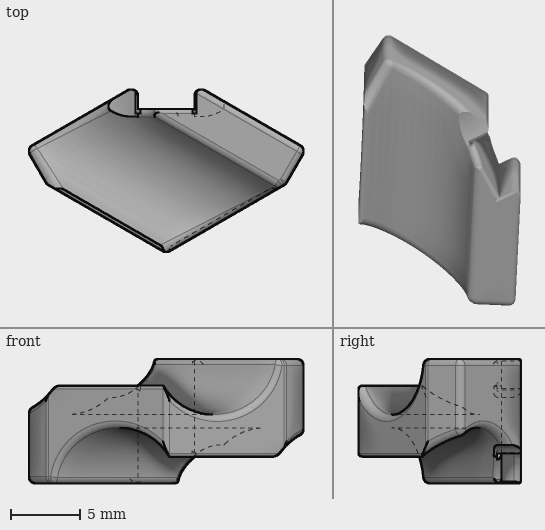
import cadquery as cq
import math


height = 9.0
edge_angle = 30.0
diamond_width = 11.57
end_distance = 8.32
edge_radius = 0.5

channel_radius = 4.22
channel_offset = -1.86
channel_axis_height = 4.70

lip_height = 2.57
lip_radius = 0.24

notch_half_width = 2.03
notch_floor_y = 3.73
notch_edge_radius = 0.33
wall_bevel = 0.15

hollow_radius = 2.8
hollow_x = -4.0
hollow_start_y = 2.9
hollow_bevel = 0.18

cos_edge = math.cos(math.radians(edge_angle))
sin_edge = math.sin(math.radians(edge_angle))
half_height = height / 2
half_width = diamond_width / 2
tolerance = 1e-4
reach = 30.0


def half_turn(shape):
    return shape.rotate((0, 0, 0), (0, 1, 0), 180)


def cut_both_sides(part, cutter):
    return part.cut(cutter).cut(half_turn(cutter))


def along_channel(section):
    """Extrude a (across, height) section along the upper channel."""
    return section.extrude(reach, both=True).rotate((0, 0, 0), (0, 0, 1), -edge_angle)


def diamond_body():
    corner_x = half_width / sin_edge
    corner_y = half_width / cos_edge
    body = (
        cq.Workplane("XY")
        .polyline([(corner_x, 0), (0, corner_y), (-corner_x, 0), (0, -corner_y)])
        .close()
        .extrude(half_height, both=True)
    )
    trim = (
        cq.Workplane("XY")
        .box(reach, reach, reach, centered=(False, True, True))
        .translate((end_distance, 0, 0))
        .rotate((0, 0, 0), (0, 0, 1), -edge_angle)
    )
    return cut_both_sides(body, trim)


def channel():
    return along_channel(
        cq.Workplane("YZ").center(channel_offset, channel_axis_height).circle(channel_radius)
    )


def is_level(edge):
    return abs(edge.startPoint().z - edge.endPoint().z) < tolerance


def outer_edges(block):
    """All edges but the sharp channel lips and the rear corner, which the notch removes."""

    def is_rounded(edge):
        middle = edge.Center()
        is_lip = is_level(edge) and abs(middle.z) < half_height - tolerance
        is_rear_corner = abs(middle.x) < tolerance and middle.y > 0
        return not (is_lip or is_rear_corner)

    return block.newObject([edge for edge in block.edges().vals() if is_rounded(edge)])


def notch_floor_edges(block):
    """Outline of the notch floor, and the channel rims that run into it."""

    def is_rounded(edge):
        start, end = edge.startPoint(), edge.endPoint()
        touches_floor = max(start.y, end.y) > notch_floor_y - tolerance
        is_side_corner = edge.geomType() == "LINE" and not is_level(edge)
        is_rear_edge = min(abs(start.x), abs(end.x)) > 2 * notch_half_width
        return touches_floor and not is_side_corner and not is_rear_edge

    return block.newObject([edge for edge in block.edges().vals() if is_rounded(edge)])


def lip_cutter():
    """Trims the sharp channel edge to a level lip with a rounded outer edge."""
    face = -half_width
    arc_middle = lip_radius * (1 - math.sqrt(0.5))
    return along_channel(
        cq.Workplane("YZ")
        .moveTo(face - lip_radius, lip_height - lip_radius)
        .lineTo(face, lip_height - lip_radius)
        .threePointArc((face + arc_middle, lip_height - arc_middle), (face + lip_radius, lip_height))
        .lineTo(channel_offset, lip_height)
        .lineTo(channel_offset, height)
        .lineTo(face - lip_radius, height)
        .close()
    )


def rear_half_space():
    return (
        cq.Workplane("XY")
        .box(reach, reach, reach, centered=(True, False, True))
        .translate((0, notch_floor_y, 0))
    )


def notch_outline():
    """Straight-walled slot whose mouth corners are rounded onto the rear edges."""
    centre_x = notch_half_width + edge_radius
    centre_y = (half_width - edge_radius - centre_x * sin_edge) / cos_edge

    def corner_point(angle):
        return (
            centre_x - edge_radius * math.cos(math.radians(angle)),
            centre_y + edge_radius * math.sin(math.radians(angle)),
        )

    start_y = notch_floor_y - 2 * edge_radius
    tangent_angle = 90 + edge_angle
    mouth_start = corner_point(0)
    mouth_middle = corner_point(tangent_angle / 2)
    mouth_end = corner_point(tangent_angle)
    right_half = (
        cq.Workplane("XY")
        .moveTo(0, start_y)
        .lineTo(notch_half_width, start_y)
        .lineTo(*mouth_start)
        .threePointArc(mouth_middle, mouth_end)
        .lineTo(mouth_end[0], reach)
        .lineTo(0, reach)
        .close()
        .extrude(reach, both=True)
    )
    return right_half.union(right_half.mirror("YZ"))


def wedge_along_y(points):
    """Triangular prism reaching from the notch floor rounding out through the rear."""
    start_y = notch_floor_y - notch_edge_radius
    return cq.Workplane("XZ", origin=(0, start_y, 0)).polyline(points).close().extrude(-reach)


def right_wall_bevel():
    return wedge_along_y([
        (notch_half_width - wall_bevel, half_height + wall_bevel),
        (notch_half_width - wall_bevel, half_height - 2 * wall_bevel),
        (notch_half_width + 2 * wall_bevel, half_height + wall_bevel),
    ])


def hollow_edge_bevel():
    """Bevel between the hollow and the left notch wall."""
    bevel_x = -notch_half_width - hollow_bevel
    bevel_z = half_height - math.sqrt(hollow_radius**2 - (bevel_x - hollow_x) ** 2)
    outer_x = bevel_x + 2 * hollow_bevel
    top_z = bevel_z + 4 * hollow_bevel
    return wedge_along_y([
        (bevel_x, bevel_z),
        (outer_x, bevel_z - hollow_bevel),
        (outer_x, top_z),
        (bevel_x, top_z),
    ])


def hollow():
    cylinder = (
        cq.Workplane("XZ", origin=(hollow_x, hollow_start_y, half_height))
        .circle(hollow_radius)
        .extrude(-reach)
    )
    left_of_notch = (
        cq.Workplane("XY")
        .box(reach, reach, reach, centered=(False, True, True))
        .translate((-notch_half_width - reach, 0, 0))
    )
    return cylinder.intersect(left_of_notch)


plain_block = cut_both_sides(diamond_body(), channel())
flat_backed_block = plain_block.cut(rear_half_space())
notch = notch_outline().cut(notch_floor_edges(flat_backed_block).fillet(notch_edge_radius))

result = outer_edges(plain_block).fillet(edge_radius)
result = cut_both_sides(result, lip_cutter())
result = result.cut(notch)
for cutter in (hollow(), hollow_edge_bevel(), right_wall_bevel()):
    result = cut_both_sides(result, cutter)
result = result.solids()